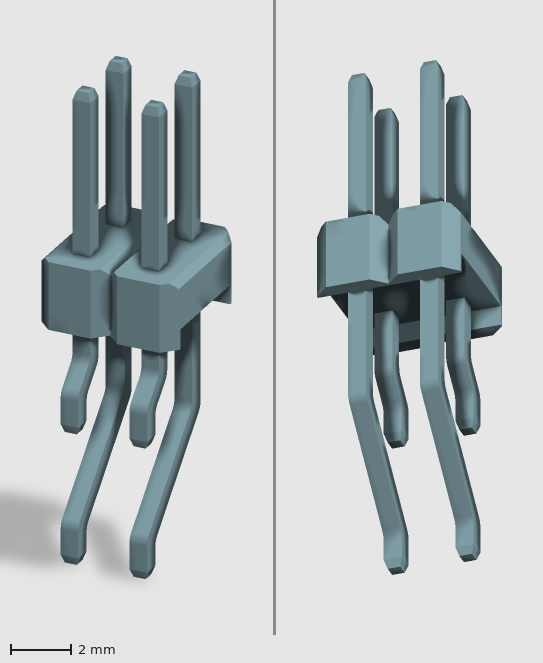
import cadquery as cq
import math


total_width = 5.08
column_count = 2
pitch = total_width / column_count

block_depth = 5.0
block_height = 2.5
corner_chamfer = 0.5
top_chamfer = 0.25
leg_depth = 0.6
leg_height = 0.71

pin_size = 0.65
pin_top = 8.5
bend_angle = 45.0
bend_radius = 0.5
foot_length = 1.48
foot_front = -block_depth / 2
back_pin_bottom = -8.5
front_pin_bottom = -3.69

tip_inset = 0.1
tip_length = 0.3

pin_rows = [(pitch / 2, back_pin_bottom), (-pitch / 2, front_pin_bottom)]


def make_block():
    """Block with chamfered corners and long top edges, standing on a leg at the front and back."""
    block = cq.Workplane("XY").box(pitch, block_depth, block_height, centered=(True, True, False))
    block = block.edges("|Z").chamfer(corner_chamfer)
    block = block.faces(">Z").edges("|Y").chamfer(top_chamfer)
    channel_depth = block_depth - 2 * leg_depth
    channel = cq.Workplane("XY").box(pitch, channel_depth, leg_height, centered=(True, True, False))
    return block.cut(channel)


def make_tip(row_y, base_z, length):
    """Tapered pin end; a negative length points it downwards."""
    tip_size = pin_size - 2 * tip_inset
    return (
        cq.Workplane("XY", origin=(0, row_y, base_z))
        .rect(pin_size, pin_size)
        .workplane(offset=length)
        .rect(tip_size, tip_size)
        .loft(ruled=True)
    )


def make_pin(row_y, bottom_z):
    """Square pin cranked forward so that its foot lines up with the front of the block."""
    front = row_y - pin_size / 2
    back = row_y + pin_size / 2
    foot_back = foot_front + pin_size
    shank_end = pin_top - tip_length
    foot_end = bottom_z + tip_length

    lower_bend = bottom_z + foot_length
    upper_bend = lower_bend + (front - foot_front) / math.tan(math.radians(bend_angle))
    back_drop = pin_size * math.tan(math.radians(bend_angle / 2))

    profile = [
        (front, shank_end),
        (front, upper_bend),
        (foot_front, lower_bend),
        (foot_front, foot_end),
        (foot_back, foot_end),
        (foot_back, lower_bend - back_drop),
        (back, upper_bend - back_drop),
        (back, shank_end),
    ]
    shaft = cq.Workplane("YZ").polyline(profile).close().extrude(pin_size / 2, both=True)
    bend_edges = shaft.edges("|X").edges("not(>Z or <Z)")
    shaft = bend_edges.fillet(bend_radius)

    upper_tip = make_tip(row_y, shank_end, tip_length)
    lower_tip = make_tip(foot_front + pin_size / 2, foot_end, -tip_length)
    return shaft.union(upper_tip).union(lower_tip)


def make_column():
    """One block joined with its back and front pins."""
    column = make_block()
    for row_y, bottom_z in pin_rows:
        column = column.union(make_pin(row_y, bottom_z))
    return column


column = make_column()
columns = []
for index in range(column_count):
    column_x = (index - (column_count - 1) / 2) * pitch
    columns.extend(column.translate((column_x, 0, 0)).solids().vals())

result = cq.Compound.makeCompound(columns)